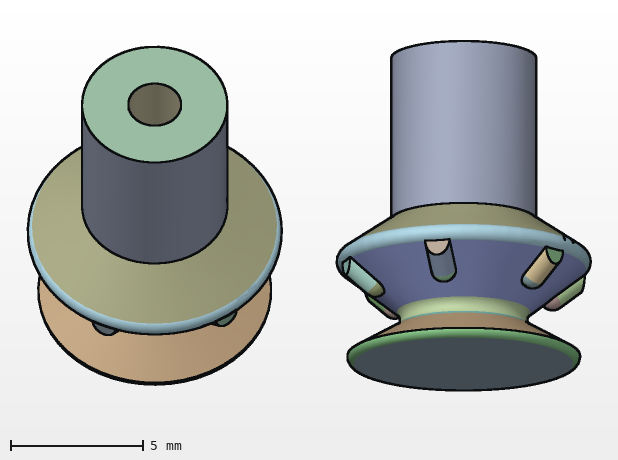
import cadquery as cq
import math

height = 11.9

stem_radius = 5.5 / 2
stem_base_z = 5.59

bore_radius = 2.0 / 2
bore_depth = height - stem_base_z
bore_floor_rise = 0.05

rim_radius = 9.6 / 2
rim_edge_radius = 4.63
rim_bottom_z = 3.68
rim_top_z = 4.3

neck_radius = 2.42
neck_end_radius = 2.52
neck_foot_radius = 2.68
neck_foot_z = 1.33
neck_bottom_z = 1.44
neck_top_z = 2.0

lip_mid_radius = 4.34
lip_bottom_radius = 4.15
lip_edge_radius = 4.4
lip_top_z = 0.32
lip_mid_z = 0.12

cleat_count = 6
cleat_radius = 0.48
cleat_face_radius = 4.65
cleat_ball_radius = 3.55
cleat_sink = 0.04


def make_body():
    """Revolve the solid outline of stem, bellow, neck and cup about Z."""
    rim_mid_z = (rim_bottom_z + rim_top_z) / 2
    neck_mid_z = (neck_bottom_z + neck_top_z) / 2
    return (
        cq.Workplane("XZ")
        .moveTo(0, 0)
        .lineTo(lip_bottom_radius, 0)
        .threePointArc((lip_mid_radius, lip_mid_z), (lip_edge_radius, lip_top_z))
        .lineTo(neck_foot_radius, neck_foot_z)
        .lineTo(neck_end_radius, neck_bottom_z)
        .threePointArc((neck_radius, neck_mid_z), (neck_end_radius, neck_top_z))
        .lineTo(rim_edge_radius, rim_bottom_z)
        .threePointArc((rim_radius, rim_mid_z), (rim_edge_radius, rim_top_z))
        .lineTo(stem_radius, stem_base_z)
        .lineTo(stem_radius, height)
        .lineTo(0, height)
        .close()
        .revolve(360, (0, 0), (0, 1))
    )


def make_bore():
    """Revolve the blind bore with its shallow conical floor."""
    return (
        cq.Workplane("XZ")
        .moveTo(0, height)
        .lineTo(bore_radius, height)
        .lineTo(bore_radius, height - bore_depth)
        .lineTo(0, height - bore_depth + bore_floor_rise)
        .close()
        .revolve(360, (0, 0), (0, 1))
    )


def make_cleat():
    """Ball-ended rod along the underside of the bellow, cut off by an upright face at +X."""
    run = rim_edge_radius - neck_end_radius
    rise = rim_bottom_z - neck_top_z
    slope = math.atan2(rise, run)
    axis = cq.Vector(math.cos(slope), 0, math.sin(slope))

    cone_z = neck_top_z + (cleat_ball_radius - neck_end_radius) * math.tan(slope)
    ball_x = cleat_ball_radius - cleat_sink * math.sin(slope)
    ball_z = cone_z + cleat_sink * math.cos(slope)
    ball_center = cq.Vector(ball_x, 0, ball_z)

    rod_length = (cleat_face_radius - ball_x) / math.cos(slope) + cleat_radius
    rod = cq.Solid.makeCylinder(cleat_radius, rod_length, ball_center, axis)
    ball = cq.Workplane("XY").sphere(cleat_radius).translate(ball_center)
    trim_height = (rim_bottom_z + rim_top_z) / 2
    trim = cq.Workplane("XY").box(
        cleat_face_radius, 2 * cleat_radius, trim_height, centered=(False, True, False)
    )
    return ball.union(cq.Workplane(rod)).intersect(trim)


body = make_body()
cleat = make_cleat()
for index in range(cleat_count):
    body = body.union(cleat.rotate((0, 0, 0), (0, 0, 1), index * 360 / cleat_count))

result = body.cut(make_bore())